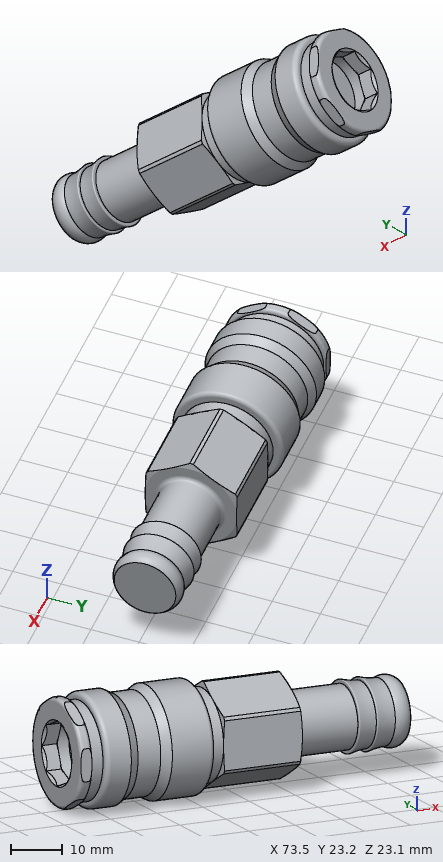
import cadquery as cq
import math

TOTAL_LENGTH = 73.5

COLLAR_SIDES = 6
COLLAR_LENGTH = 2.5
COLLAR_RADIUS = 22.05 / 2
COLLAR_ROUND = 0.8
COLLAR_ACROSS_FLATS = 21.0
NECK_RADIUS = 20.1 / 2

SOCKET_RIM_RADIUS = 13.2 / 2
SOCKET_RADIUS = 13.1 / 2
SOCKET_DEPTH = 5.95
SOCKET_SIDES = 8
OCTAGON_DEPTH = 3.4
RIM_BEVEL_DEPTH = 0.6

SLEEVE_START = 5.1
SLEEVE_END = 28.6
SLEEVE_RADIUS = 23.15 / 2
SLEEVE_START_ROUND = 1.0
SLEEVE_END_ROUND = 0.9
WAIST_RADIUS = 21.0 / 2
WAIST_START = 12.4
WAIST_END = 17.35
WAIST_CONE_LENGTH = 2.0

SHAFT_RADIUS = 18.95 / 2
HEX_SIDES = 6
HEX_START = 31.45
HEX_END = 48.5
HEX_ACROSS_FLATS = 2 * SHAFT_RADIUS
HEX_CORNER_RADIUS = 21.45 / 2
HEX_START_BEVEL = 0.2
HEX_END_BEVEL = 0.4

STEM_RADIUS = 13.1 / 2
STEM_ROOT_ROUND = 0.9
BARB_STARTS = (61.95, 65.85)
BARB_RADIUS = 14.7 / 2
BARB_LIP = 0.2
BARB_HOLLOW_RADIUS = 14.7
BARB_VALLEY_RADIUS = 13.5 / 2
BARB_ENDS = (65.55, 70.0)
BULB_CREST_X = 71.6
BULB_RADIUS = 14.4 / 2
BULB_END_RADIUS = 12.8 / 2


def revolve_about_x(profile):
    """Turn a closed half profile, drawn as (x, radius), into a solid of revolution."""
    return profile.close().revolve(360, (0, 0, 0), (1, 0, 0))


def prism_along_x(sides, across_flats, start, length):
    """Regular prism along X with corners towards +Z and -Z (for an even number of sides)."""
    across_corners = across_flats / math.cos(math.pi / sides)
    prism = cq.Workplane("YZ", origin=(start, 0, 0)).polygon(sides, across_corners).extrude(length)
    return prism.rotate((0, 0, 0), (1, 0, 0), 90)


def make_collar():
    ring = cq.Workplane("YZ").circle(COLLAR_RADIUS).extrude(COLLAR_LENGTH)
    ring = ring.edges().fillet(COLLAR_ROUND)
    flats = prism_along_x(COLLAR_SIDES, COLLAR_ACROSS_FLATS, 0, COLLAR_LENGTH)
    return ring.intersect(flats)


def make_shafts():
    """Neck behind the collar and the plain shaft that carries the sleeve."""
    return revolve_about_x(
        cq.Workplane("XY")
        .moveTo(COLLAR_LENGTH, 0)
        .lineTo(COLLAR_LENGTH, NECK_RADIUS)
        .lineTo(SLEEVE_START, NECK_RADIUS)
        .lineTo(SLEEVE_START, SHAFT_RADIUS)
        .lineTo(HEX_START, SHAFT_RADIUS)
        .lineTo(HEX_START, 0)
    )


def make_wrench_section():
    """Hexagon with turned corners and conical bevels on both ends."""
    hexagon = prism_along_x(HEX_SIDES, HEX_ACROSS_FLATS, HEX_START, HEX_END - HEX_START)
    turned_envelope = revolve_about_x(
        cq.Workplane("XY")
        .moveTo(HEX_START, 0)
        .lineTo(HEX_START, SHAFT_RADIUS)
        .lineTo(HEX_START + HEX_START_BEVEL, HEX_CORNER_RADIUS)
        .lineTo(HEX_END - HEX_END_BEVEL, HEX_CORNER_RADIUS)
        .lineTo(HEX_END, SHAFT_RADIUS)
        .lineTo(HEX_END, 0)
    )
    return hexagon.intersect(turned_envelope)


def make_hose_stem():
    """Stem with a rounded root, two hose barbs and a round bulb at the tip."""
    profile = (
        cq.Workplane("XY")
        .moveTo(HEX_END, 0)
        .lineTo(HEX_END, STEM_RADIUS + STEM_ROOT_ROUND)
        .radiusArc((HEX_END + STEM_ROOT_ROUND, STEM_RADIUS), -STEM_ROOT_ROUND)
        .lineTo(BARB_STARTS[0], STEM_RADIUS)
    )
    for start, end in zip(BARB_STARTS, BARB_ENDS):
        lip = start + BARB_LIP
        profile = (
            profile.lineTo(start, BARB_VALLEY_RADIUS)
            .lineTo(start, BARB_RADIUS - BARB_LIP)
            .radiusArc((lip, BARB_RADIUS), BARB_LIP)
            .radiusArc((end, BARB_VALLEY_RADIUS), -BARB_HOLLOW_RADIUS)
        )
    profile = profile.threePointArc((BULB_CREST_X, BULB_RADIUS), (TOTAL_LENGTH, BULB_END_RADIUS))
    profile = profile.lineTo(TOTAL_LENGTH, 0)
    return revolve_about_x(profile)


def make_socket():
    """Blind round bore behind an octagonal mouth with a conical rim."""
    octagon_across_flats = 2 * SOCKET_RADIUS * math.cos(math.pi / SOCKET_SIDES)
    mouth = prism_along_x(SOCKET_SIDES, octagon_across_flats, 0, OCTAGON_DEPTH)
    bore = cq.Workplane("YZ", origin=(OCTAGON_DEPTH, 0, 0)).circle(SOCKET_RADIUS)
    bore = bore.extrude(SOCKET_DEPTH - OCTAGON_DEPTH)
    rim = revolve_about_x(
        cq.Workplane("XY")
        .lineTo(0, SOCKET_RIM_RADIUS)
        .lineTo(RIM_BEVEL_DEPTH, octagon_across_flats / 2)
        .lineTo(RIM_BEVEL_DEPTH, 0)
    )
    return mouth.union(bore).union(rim)


def make_body():
    body = make_collar().union(make_shafts()).union(make_wrench_section()).union(make_hose_stem())
    return body.cut(make_socket())


def make_sleeve():
    """Ring around the shaft with a conical-sided waist and rounded outer ends."""
    start_round_corner = SLEEVE_RADIUS - SLEEVE_START_ROUND
    end_round_corner = SLEEVE_RADIUS - SLEEVE_END_ROUND
    return revolve_about_x(
        cq.Workplane("XY")
        .moveTo(SLEEVE_START, SHAFT_RADIUS)
        .lineTo(SLEEVE_START, start_round_corner)
        .radiusArc((SLEEVE_START + SLEEVE_START_ROUND, SLEEVE_RADIUS), SLEEVE_START_ROUND)
        .lineTo(WAIST_START - WAIST_CONE_LENGTH, SLEEVE_RADIUS)
        .lineTo(WAIST_START, WAIST_RADIUS)
        .lineTo(WAIST_END, WAIST_RADIUS)
        .lineTo(WAIST_END + WAIST_CONE_LENGTH, SLEEVE_RADIUS)
        .lineTo(SLEEVE_END - SLEEVE_END_ROUND, SLEEVE_RADIUS)
        .radiusArc((SLEEVE_END, end_round_corner), SLEEVE_END_ROUND)
        .lineTo(SLEEVE_END, SHAFT_RADIUS)
    )


body = make_body()
sleeve = make_sleeve()
result = cq.Compound.makeCompound([body.val(), sleeve.val()])